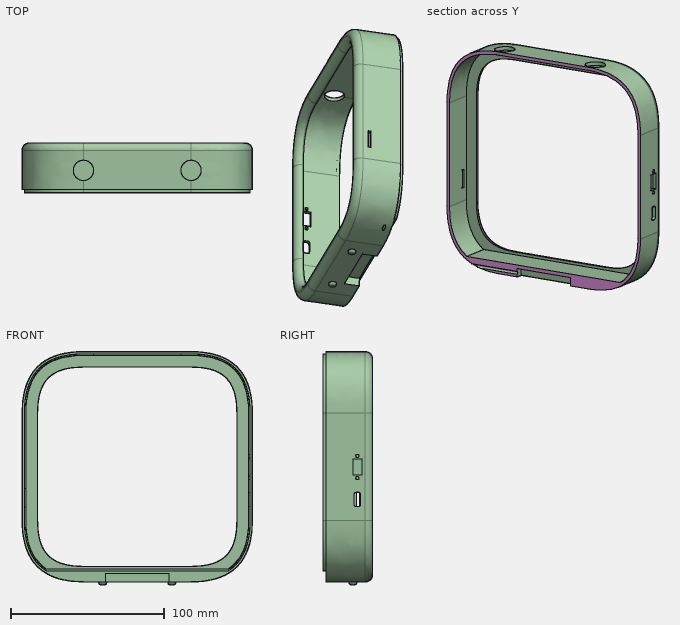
import cadquery as cq
import math

body_size = 150.0
body_depth = 30.5
corner_reach = 40.0
back_edge_radius = 5.0

wall = 2.5
back_thickness = 5.6
flange_width = 10.2
lip_inset = 1.5
lip_height = 2.0

floor_height = 8.4
lip_base_height = 7.3
pocket_width = 41.2
pocket_height = 5.6
pocket_depth = 10.0

button_diameter = 13.2
button_spacing = 70.0
button_from_back = 18.0

card_slot_from_back = 9.5
card_slot_width = 1.8
card_slot_length = 12.0
card_slot_z = -20.0

port_from_back = 10.0
socket_width = 6.0
socket_length = 10.6
socket_z = -0.2
socket_screw_diameter = 2.1
socket_screw_spacing = 14.5
small_port_width = 4.4
small_port_length = 9.1
small_port_z = -21.3
small_port_radius = 1.5

cable_hole_diameter = 1.7
cable_hole_y = 5.0
cable_hole_height = 2.9

foot_diameter = 5.3
foot_height = 2.0
foot_edge_radius = 1.8
foot_spacing = 45.0
foot_from_back = 12.9
foot_sink = 0.8

half = body_size / 2
underside = -half
side_end = half - corner_reach
wall_cut = 2 * wall


def prism(inset, y_start, y_end):
    """Rounded square, inset evenly from the body outline, from y_start to y_end."""
    side = half - inset
    corner_middle = half - corner_reach / 4 - inset / math.sqrt(2)
    handle = (8 * corner_middle - side_end - 4 * side) / 3
    corner = [(side_end, side), (handle, side), (side, handle), (side, side_end)]

    outline = cq.Workplane("XZ", origin=(0, y_start, 0)).moveTo(-side_end, side)
    for _ in range(4):
        outline = outline.lineTo(*corner[0]).bezier(corner)
        corner = [(z, -x) for x, z in corner]
    return outline.close().extrude(y_start - y_end)


def above(height):
    """Block holding everything higher than the given height above the underside."""
    size = 2 * body_size
    return cq.Workplane("XY", origin=(0, 0, underside + height)).box(size, size, size, (True, True, False))


def side_wall_sketch(side, from_back, z):
    """Sketch inside the left (-1) or right (+1) wall, facing outwards, with its vertical along Z."""
    origin = (side * (half - wall_cut), body_depth - from_back, z)
    return cq.Workplane(cq.Plane(origin=origin, xDir=(0, side, 0), normal=(side, 0, 0)))


window = prism(flange_width, 0, body_depth)
body = prism(0, 0, body_depth).cut(window).faces(">Y").edges().fillet(back_edge_radius)
lip = prism(lip_inset, -lip_height, wall).intersect(above(lip_base_height))
result = body.union(lip)

cavity = prism(wall, -lip_height, body_depth - back_thickness).intersect(above(floor_height))
result = result.cut(cavity)

pocket = cq.Workplane("XY", origin=(0, 0, underside)).box(
    pocket_width, 2 * pocket_depth, 2 * pocket_height
)
result = result.cut(pocket)

buttons = (
    cq.Workplane("XY", origin=(0, body_depth - button_from_back, half - wall_cut))
    .rarray(button_spacing, 1.5, 2, 1)
    .circle(button_diameter / 2)
    .extrude(wall_cut)
)
result = result.cut(buttons)

card_slot = (
    side_wall_sketch(-1, card_slot_from_back, card_slot_z)
    .rect(card_slot_width, card_slot_length)
    .extrude(wall_cut)
)
result = result.cut(card_slot)

socket = side_wall_sketch(1, port_from_back, socket_z).rect(socket_width, socket_length).extrude(wall_cut)
screws = (
    side_wall_sketch(1, port_from_back, socket_z)
    .rarray(1.5, socket_screw_spacing, 1, 2)
    .circle(socket_screw_diameter / 2)
    .extrude(wall_cut)
)
small_port = (
    side_wall_sketch(1, port_from_back, small_port_z)
    .rect(small_port_width, small_port_length)
    .extrude(wall_cut)
    .edges("|X")
    .fillet(small_port_radius)
)
result = result.cut(socket).cut(screws).cut(small_port)

cable_hole = (
    cq.Workplane("YZ", origin=(-half, cable_hole_y, underside + cable_hole_height))
    .circle(cable_hole_diameter / 2)
    .extrude(half)
)
result = result.cut(cable_hole)

feet = (
    cq.Workplane("XY", origin=(0, body_depth - foot_from_back, underside + foot_sink))
    .rarray(foot_spacing, 1.5, 2, 1)
    .circle(foot_diameter / 2)
    .extrude(-foot_height - foot_sink)
    .faces("<Z")
    .edges()
    .fillet(foot_edge_radius)
)
result = result.union(feet)